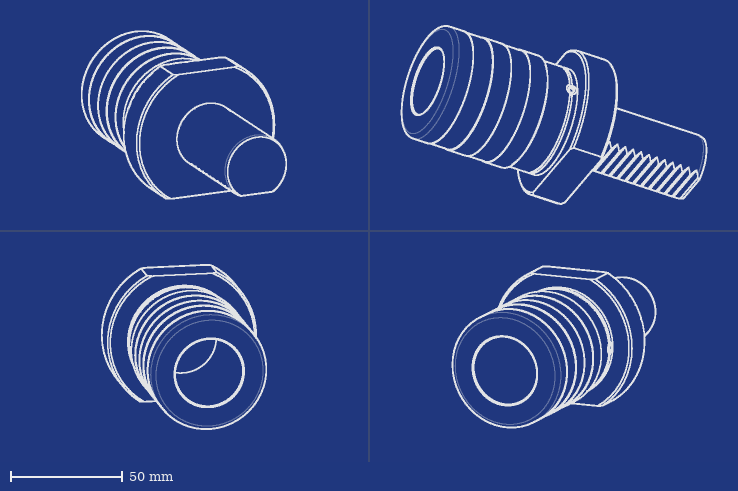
import cadquery as cq
import math


shank_length = 55.0
shank_diameter = 30.0
shank_end_chamfer_length = 2.0
shank_end_chamfer_depth = 0.5
relief_radius = 1.0

rack_start = 3.2
rack_tip_height = -12.2
tooth_depth = 2.0
tooth_pitch = 2 * tooth_depth
tooth_count = 12
first_root = 7.7

flange_diameter = 68.0
flange_thickness = 16.0
flange_chamfer = 1.0
flat_top = 30.0
flat_bottom = -28.0

body_length = 63.0
land_diameter = 53.0
band_diameter = 52.5
neck_diameter = 50.0
front_fillet = 2.0
front_land_width = 9.4
front_band_width = 9.8
middle_land_width = 9.6
rear_band_width = 9.5
rear_land_end = 47.0
rear_cone_angle = 31.0

plug_offset_from_flange = 3.0
neck_groove_offset_from_flange = 3.25
neck_groove_radius = 0.6
plug_hole_diameter = 5.0
plug_diameter = 4.9
plug_gap_depth = 1.0
plug_recess_diameter = 2.8
plug_recess_depth = 1.0

bore_diameter = 31.0
bore_chamfer = 0.5
bore_depth = body_length

flange_front = -flange_thickness
body_front = flange_front - body_length
groove_x = flange_front - neck_groove_offset_from_flange
plug_x = flange_front - plug_offset_from_flange


def revolve_about_x(profile):
    """Revolve a closed (x, radius) profile a full turn about the X axis."""
    return profile.revolve(360, (0, 0, 0), (1, 0, 0))


def cylinder(start, length, diameter):
    """Solid cylinder on the X axis, running from start toward +X."""
    return cq.Workplane("YZ").workplane(offset=start).circle(diameter / 2).extrude(length)


def make_flange():
    disc = cylinder(flange_front, flange_thickness, flange_diameter).edges().chamfer(flange_chamfer)
    slab = (
        cq.Workplane("XY")
        .workplane(offset=flat_bottom)
        .center(flange_front / 2, 0)
        .rect(flange_thickness, flange_diameter)
        .extrude(flat_top - flat_bottom)
    )
    return disc.intersect(slab)


def make_body():
    land_radius = land_diameter / 2
    band_radius = band_diameter / 2
    neck_radius = neck_diameter / 2
    flank = land_radius - band_radius
    first_band_start = body_front + front_land_width
    first_band_end = first_band_start + front_band_width
    second_band_start = first_band_end + middle_land_width
    second_band_end = second_band_start + rear_band_width
    rear_land_edge = body_front + rear_land_end
    cone_length = (land_radius - neck_radius) * math.tan(math.radians(rear_cone_angle))

    profile = (
        cq.Workplane("XY")
        .moveTo(body_front, 0)
        .lineTo(body_front, land_radius - front_fillet)
        .radiusArc((body_front + front_fillet, land_radius), front_fillet)
        .lineTo(first_band_start, land_radius)
        .lineTo(first_band_start, band_radius)
        .lineTo(first_band_end, band_radius)
        .lineTo(first_band_end + flank, land_radius)
        .lineTo(second_band_start - flank, land_radius)
        .lineTo(second_band_start, band_radius)
        .lineTo(second_band_end, band_radius)
        .lineTo(second_band_end, land_radius)
        .lineTo(rear_land_edge, land_radius)
        .lineTo(rear_land_edge + cone_length, neck_radius)
        .lineTo(flange_front, neck_radius)
        .lineTo(flange_front, 0)
        .close()
    )
    return revolve_about_x(profile)


def make_neck_groove():
    """Ring of circular section centred on the neck surface."""
    section = cq.Workplane("XY").center(groove_x, neck_diameter / 2).circle(neck_groove_radius)
    return section.revolve(360, (-groove_x, -neck_diameter / 2, 0), (0, -neck_diameter / 2, 0))


def plug_cylinder(diameter, depth):
    """Radial cylinder reaching inward from the -Y side of the neck."""
    return (
        cq.Workplane("XZ", origin=(plug_x, 0, 0))
        .workplane(offset=neck_diameter / 2 - depth)
        .circle(diameter / 2)
        .extrude(depth)
    )


def make_plug_cutter():
    """Thin gap around the plug together with the recess in its centre."""
    gap = plug_cylinder(plug_hole_diameter, plug_gap_depth)
    gap = gap.cut(plug_cylinder(plug_diameter, plug_gap_depth))
    return gap.union(plug_cylinder(plug_recess_diameter, plug_recess_depth))


def make_rack_cutter():
    """Prism below the rack: its upper edge follows the tooth roots and tips."""
    below = -shank_diameter
    cutter = (
        cq.Workplane("XZ")
        .moveTo(rack_start, below)
        .lineTo(rack_start, rack_tip_height)
        .lineTo(first_root - tooth_depth, rack_tip_height)
    )
    for index in range(tooth_count):
        root = first_root + index * tooth_pitch
        cutter = cutter.lineTo(root, rack_tip_height + tooth_depth)
        cutter = cutter.lineTo(root + tooth_pitch / 2, rack_tip_height)
    cutter = cutter.lineTo(shank_length, rack_tip_height).lineTo(shank_length, below).close()
    return cutter.extrude(shank_diameter / 2, both=True)


def make_shank():
    """Shank with a quarter-round relief beside the flange, an end chamfer and the rack."""
    radius = shank_diameter / 2
    profile = (
        cq.Workplane("XY")
        .lineTo(0, radius - relief_radius)
        .radiusArc((relief_radius, radius), -relief_radius)
        .lineTo(shank_length - shank_end_chamfer_length, radius)
        .lineTo(shank_length, radius - shank_end_chamfer_depth)
        .lineTo(shank_length, 0)
        .close()
    )
    return revolve_about_x(profile).cut(make_rack_cutter())


def make_bore():
    """Blind tool bore with a 45-degree chamfer at its mouth."""
    radius = bore_diameter / 2
    bore_floor = body_front + bore_depth
    profile = (
        cq.Workplane("XY")
        .moveTo(body_front, 0)
        .lineTo(body_front, radius + bore_chamfer)
        .lineTo(body_front + bore_chamfer, radius)
        .lineTo(bore_floor, radius)
        .lineTo(bore_floor, 0)
        .close()
    )
    return revolve_about_x(profile)


result = make_flange().union(make_body()).union(make_shank()).cut(make_bore())
result = result.cut(make_neck_groove()).cut(make_plug_cutter())